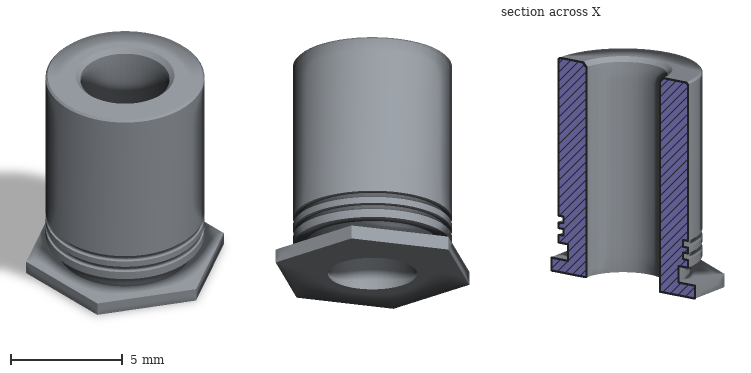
import cadquery as cq
import math

total_height = 10.0
hex_across_flats = 7.9
hex_across_corners = hex_across_flats / math.cos(math.pi / 6)

body_diameter = 7.12
groove_diameter = 6.61
neck_diameter = 6.1
bore_diameter = 4.0

head_top = 0.62
neck_top = 1.37
groove_bottoms = (1.75, 2.33)
groove_width = 0.29

rim_chamfer = 0.09
bore_chamfer = 0.21


def cylinder(diameter, bottom, top):
    """Solid cylinder on the Z axis between two heights."""
    return cq.Workplane("XY").workplane(offset=bottom).circle(diameter / 2).extrude(top - bottom)


def ring_groove(bottom):
    """Ring of material to remove from the outside of the body."""
    top = bottom + groove_width
    return cylinder(hex_across_corners, bottom, top).cut(cylinder(groove_diameter, bottom, top))


head = cq.Workplane("XY").polygon(6, hex_across_corners).extrude(head_top)

neck = cylinder(neck_diameter, 0, neck_top)
body = cylinder(body_diameter, neck_top, total_height).faces(">Z").edges().chamfer(rim_chamfer)

for groove_bottom in groove_bottoms:
    body = body.cut(ring_groove(groove_bottom))

result = head.union(neck).union(body).cut(cylinder(bore_diameter, 0, total_height))
result = result.faces(">Z").edges("%CIRCLE").edges(cq.selectors.RadiusNthSelector(0)).chamfer(bore_chamfer)